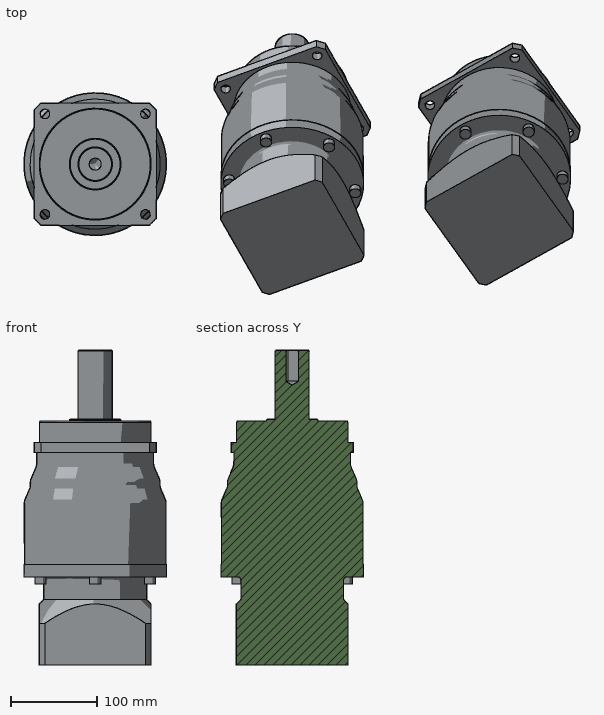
import cadquery as cq
import math

shaft_radius = 20
shaft_length = 82
shaft_chamfer = 1
seal_radius = 30
seal_height = 2
seal_chamfer = 1
pilot_radius = 65
pilot_height = 25
pilot_chamfer_width = 1
pilot_chamfer_height = 2
centre_hole_radius = 7
centre_hole_depth = 36
drill_point_angle = 118

flange_size = 142
flange_thickness = 12
flange_corner_cut = 8
flange_hole_radius = 5.5
flange_bolt_circle_radius = 82.5

neck_radius = 68
neck_height = 15
upper_cone_height = 17.3
band_radius = 75.5
band_height = 7.7
lower_cone_height = 16.6
body_radius = 82.5
shoulder_fillet = 10
body_height = 73.5
ring_radius = 83
ring_height = 14.6

bolt_count = 6
bolt_head_radius = 6.5
bolt_head_height = 8
bolt_circle_radius = 73.5
adapter_neck_radius = 60
adapter_neck_height = 26
adapter_neck_fillet = 3.5
adapter_size = 130
adapter_corner_radius = 87.5
total_height = 365.7

edge_tolerance = 0.01

pilot_top = total_height - shaft_length
flange_top = pilot_top - pilot_height
flange_bottom = flange_top - flange_thickness
neck_bottom = flange_bottom - neck_height
band_top = neck_bottom - upper_cone_height
band_bottom = band_top - band_height
body_top = band_bottom - lower_cone_height
ring_top = body_top - body_height
ring_bottom = ring_top - ring_height
adapter_top = ring_bottom - adapter_neck_height


def disc(radius, bottom, top):
    return cq.Workplane("XY").workplane(offset=bottom).circle(radius).extrude(top - bottom)


def revolve_profile(points):
    return cq.Workplane("XZ").polyline(points).close().revolve(360, (0, 0, 0), (0, 1, 0))


def circle_at(height):
    """Select the circular edges that lie at one height."""
    reach = 2 * ring_radius
    return cq.selectors.BoxSelector(
        (-reach, -reach, height - edge_tolerance),
        (reach, reach, height + edge_tolerance),
        boundingbox=True,
    )


def make_housing():
    housing = revolve_profile([
        (0, ring_bottom),
        (ring_radius, ring_bottom),
        (ring_radius, ring_top),
        (body_radius, ring_top),
        (body_radius, body_top),
        (band_radius, band_bottom),
        (band_radius, band_top),
        (neck_radius, neck_bottom),
        (neck_radius, flange_bottom),
        (0, flange_bottom),
    ])
    bend_heights = [body_top, band_bottom, band_top, neck_bottom]
    for height in bend_heights:
        housing = housing.edges(circle_at(height)).fillet(shoulder_fillet)
    return housing


def make_flange():
    plate = (
        cq.Workplane("XY").workplane(offset=flange_bottom)
        .rect(flange_size, flange_size).extrude(flange_thickness)
        .edges("|Z").chamfer(flange_corner_cut)
    )
    hole_spacing = flange_bolt_circle_radius * math.sqrt(2)
    return (
        plate.faces(">Z").workplane()
        .rect(hole_spacing, hole_spacing, forConstruction=True).vertices()
        .hole(2 * flange_hole_radius)
    )


def make_output():
    pilot = revolve_profile([
        (0, flange_top),
        (pilot_radius, flange_top),
        (pilot_radius, pilot_top - pilot_chamfer_height),
        (pilot_radius - pilot_chamfer_width, pilot_top),
        (0, pilot_top),
    ])
    seal = disc(seal_radius, pilot_top, pilot_top + seal_height).faces(">Z").chamfer(seal_chamfer)
    shaft = disc(shaft_radius, pilot_top, total_height).faces(">Z").chamfer(shaft_chamfer)
    return pilot.union(seal).union(shaft)


def make_centre_hole():
    hole_bottom = total_height - centre_hole_depth
    point_depth = centre_hole_radius / math.tan(math.radians(drill_point_angle / 2))
    return revolve_profile([
        (0, total_height),
        (centre_hole_radius, total_height),
        (centre_hole_radius, hole_bottom),
        (0, hole_bottom - point_depth),
    ])


def make_bolt_heads():
    return (
        cq.Workplane("XY").workplane(offset=ring_bottom - bolt_head_height)
        .polarArray(bolt_circle_radius, 90, 360, bolt_count)
        .circle(bolt_head_radius).extrude(bolt_head_height)
    )


def make_adapter():
    block = cq.Workplane("XY").rect(adapter_size, adapter_size).extrude(adapter_top)
    cone_height = adapter_corner_radius - adapter_neck_radius
    envelope = revolve_profile([
        (0, 0),
        (adapter_corner_radius, 0),
        (adapter_corner_radius, adapter_top - cone_height),
        (adapter_neck_radius, adapter_top),
        (0, adapter_top),
    ])
    return block.intersect(envelope)


def make_adapter_neck():
    flare_radius = adapter_neck_radius + adapter_neck_fillet
    flare_bottom = ring_bottom - adapter_neck_fillet
    diagonal_gap = adapter_neck_fillet * (1 - math.sqrt(0.5))
    return (
        cq.Workplane("XZ")
        .moveTo(0, adapter_top)
        .lineTo(adapter_neck_radius, adapter_top)
        .lineTo(adapter_neck_radius, flare_bottom)
        .threePointArc(
            (adapter_neck_radius + diagonal_gap, ring_bottom - diagonal_gap),
            (flare_radius, ring_bottom),
        )
        .lineTo(0, ring_bottom)
        .close()
        .revolve(360, (0, 0, 0), (0, 1, 0))
    )


result = (
    make_housing()
    .union(make_flange())
    .union(make_output())
    .union(make_adapter_neck())
    .union(make_adapter())
    .union(make_bolt_heads())
    .cut(make_centre_hole())
)